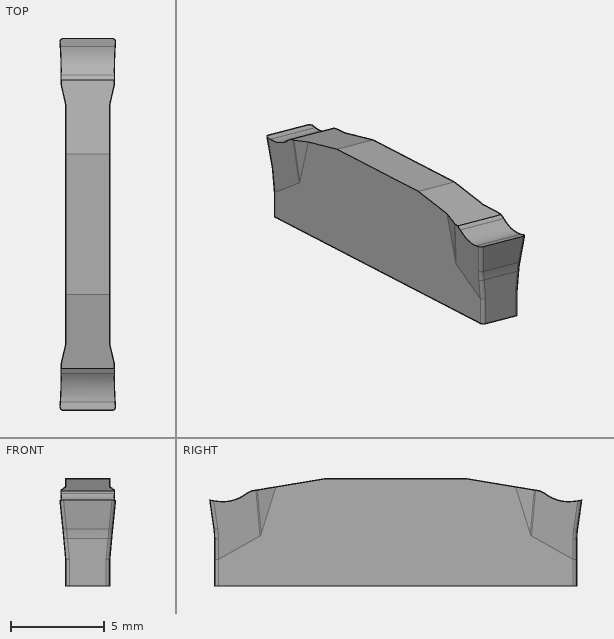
import cadquery as cq
import math

length = 19.97
height = 5.77
body_width = 2.38
sharp_tip_width = 3.02

flat_half_length = 3.77
tip = (length / 2, 4.61)
land_end = (9.55, 4.55)
groove_middle = (8.7, 4.61)
groove_end = (8.0, 4.97)
ramp_top = (7.75, 5.11)

body_half_length = 9.73
clearance_corner_z = 2.82
clearance_blend_radius = 3.6

fold_low = (9.59, 1.4)
fold_apex = (7.25, 2.72)
fold_high = (6.43, 5.33)
ridge_top = (7.47, 5.15)
ridge_radius = 0.4
corner_radius = 0.2

oversize = 11.98
root_depth = 2.0
edge_margin = 0.1


def distance_from_fold(point, start, end):
    """Distance of a (y, z) point from the line through start and end."""
    dy = end[0] - start[0]
    dz = end[1] - start[1]
    return ((point[0] - start[0]) * dz - (point[1] - start[1]) * dy) / math.hypot(dy, dz)


def flare(start, end, slope):
    """Wedge that widens away from a fold line on both sides of the body."""
    fold_plane = cq.Plane(
        origin=(0, *start),
        xDir=(1, 0, 0),
        normal=(0, end[0] - start[0], end[1] - start[1]),
    )
    near = body_width / 2 - slope * root_depth
    far = body_width / 2 + slope * oversize
    section = [(-near, -root_depth), (near, -root_depth), (far, oversize), (-far, oversize)]
    return cq.Workplane(fold_plane).polyline(section).close().extrude(oversize, both=True)


def half_profile(width):
    """The +Y half of the side profile, extruded symmetrically along X."""
    blank = (
        cq.Workplane("YZ")
        .moveTo(0, 0)
        .lineTo(body_half_length, 0)
        .lineTo(body_half_length, clearance_corner_z)
        .lineTo(*tip)
        .lineTo(*land_end)
        .threePointArc(groove_middle, groove_end)
        .lineTo(*ramp_top)
        .lineTo(flat_half_length, height)
        .lineTo(0, height)
        .close()
        .extrude(width / 2, both=True)
    )
    clearance_edge = cq.selectors.NearestToPointSelector((0, body_half_length, clearance_corner_z))
    return blank.edges(clearance_edge).fillet(clearance_blend_radius)


def flared_head():
    """Head with tapered flanks that run back into the body sides."""
    tip_rise = (sharp_tip_width - body_width) / 2
    flank_slope = tip_rise / distance_from_fold(tip, fold_low, fold_apex)
    ridge_rise = flank_slope * distance_from_fold(ridge_top, fold_low, fold_apex)
    back_slope = ridge_rise / distance_from_fold(ridge_top, fold_apex, fold_high)
    flank = flare(fold_low, fold_apex, flank_slope)
    back = flare(fold_apex, fold_high, back_slope)
    head = flank.intersect(back)
    for side in (-1, 1):
        ridge_direction = cq.Vector(
            side * ridge_rise, ridge_top[0] - fold_apex[0], ridge_top[1] - fold_apex[1])
        ridge = cq.selectors.ParallelDirSelector(ridge_direction)
        head = head.edges(ridge).fillet(ridge_radius)
    return head.intersect(half_profile(oversize))


def round_end_corners(solid):
    """Round the corners where the end faces meet the flanks and body sides."""
    end_edges = cq.selectors.BoxSelector(
        (-sharp_tip_width, body_half_length - edge_margin, edge_margin),
        (sharp_tip_width, length, tip[1] - edge_margin),
    )
    return solid.edges(end_edges).edges("not(|X)").fillet(corner_radius)


half = round_end_corners(half_profile(body_width).union(flared_head()))
result = half.union(half.mirror("XZ"))